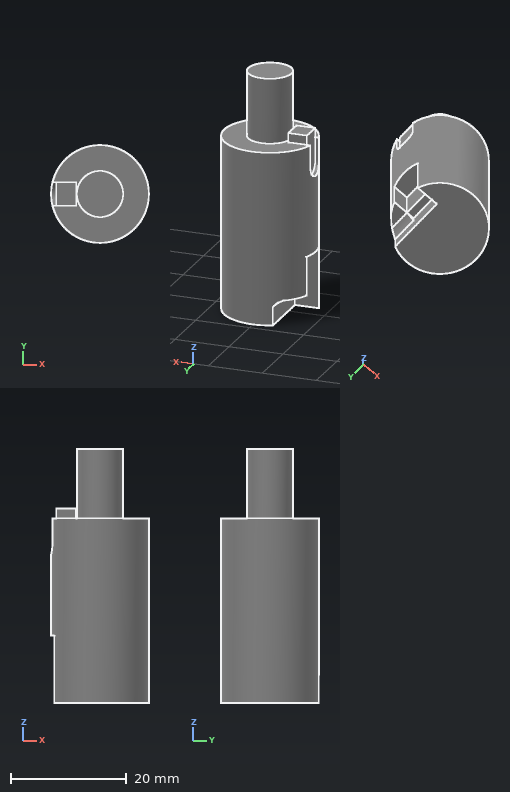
import cadquery as cq

total_length = 44.0
body_diameter = 17.0
body_length = 32.0
shaft_diameter = 8.0

key_width = 4.0
key_length = 8.0
key_protrusion = 1.7
key_outer_x = -7.6
key_inner_x = -4.15

pocket_width = 6.0
pocket_height = 11.65
pocket_floor_x = -5.0
slot_height = 4.5
slot_floor_x = -3.48
arm_inner_height = 3.45
arm_roof_radius = 4.0

body_radius = body_diameter / 2
key_top = body_length + key_protrusion
key_bottom = key_top - key_length
cut_outer_x = -body_diameter


def box_between(x_min, x_max, y_min, y_max, z_min, z_max):
    """Box given by its limits along each axis."""
    size = (x_max - x_min, y_max - y_min, z_max - z_min)
    return cq.Workplane("XY").box(*size, centered=False).translate((x_min, y_min, z_min))


def key_shape(x_min, x_max):
    """Key outline, straight above and half-round below, extruded along X."""
    radius = key_width / 2
    arc_center_z = key_bottom + radius
    return (
        cq.Workplane("YZ", origin=(x_min, 0, 0))
        .moveTo(-radius, key_top)
        .lineTo(-radius, arc_center_z)
        .threePointArc((0, key_bottom), (radius, arc_center_z))
        .lineTo(radius, key_top)
        .close()
        .extrude(x_max - x_min)
    )


def slot_arm():
    """+Y arm of the slot; its roof curves down from the pocket floor plane to the slot floor."""
    return (
        cq.Workplane("XZ")
        .moveTo(cut_outer_x, 0)
        .lineTo(cut_outer_x, slot_height)
        .lineTo(pocket_floor_x, slot_height)
        .radiusArc((slot_floor_x, arm_inner_height), arm_roof_radius)
        .lineTo(slot_floor_x, 0)
        .close()
        .extrude(-body_diameter)
        .translate((0, pocket_width / 2, 0))
    )


def bayonet_recess():
    """Entry pocket joined to the bottom slot, whose arm leaves the body on the +Y side."""
    half_width = pocket_width / 2
    pocket = box_between(cut_outer_x, pocket_floor_x, -half_width, half_width, 0, pocket_height)
    slot_mouth = box_between(cut_outer_x, slot_floor_x, -half_width, half_width, 0, slot_height)
    return pocket.union(slot_mouth).union(slot_arm())


def make_body():
    """Cylinder with the key seat and the bayonet recess cut into its -X side."""
    cylinder = cq.Workplane("XY").circle(body_radius).extrude(body_length)
    key_seat = key_shape(cut_outer_x, key_inner_x)
    return cylinder.cut(key_seat).cut(bayonet_recess())


def make_shaft():
    """Plain shaft standing on the top face of the body."""
    shaft_length = total_length - body_length
    return cq.Workplane("XY", origin=(0, 0, body_length)).circle(shaft_diameter / 2).extrude(shaft_length)


body = make_body()
shaft = make_shaft()
key = key_shape(key_outer_x, key_inner_x)

result = cq.Compound.makeCompound([*body.solids().vals(), shaft.val(), key.val()])